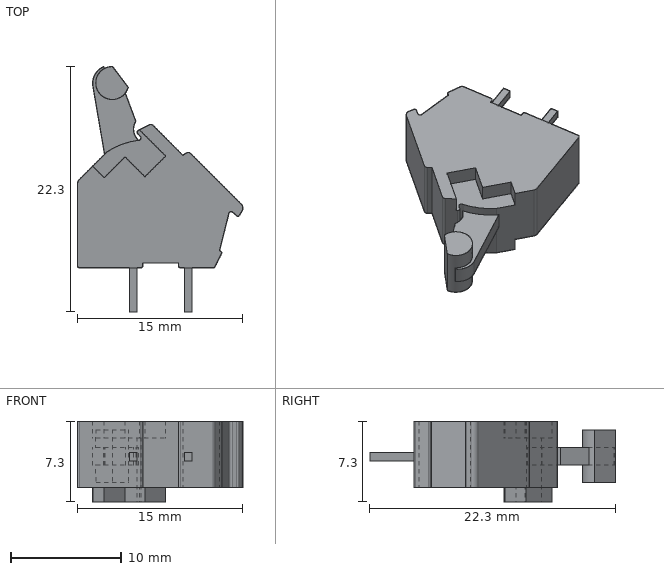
import cadquery as cq
import math


housing_height = 6.0
corner_radius = 0.2
fine_radius = 0.15
soft_radius = 0.3
nose_radius = 0.5
wall_radius = 0.5
foot_radius = 0.25
slope_angle = 45.0
left_wall_top = 7.85
apex = (6.71, 13.08)
shoulder_root = (9.55, 10.22)
shoulder = (10.08, 10.56)
nose = (15.14, 5.50)
hook_tip = (14.57, 4.60)
hook_throat = (13.82, 5.27)
foot_recess = (12.89, 1.58)
foot_bump = (13.13, 1.42)
foot_end = (12.42, 0)

relief_left = 5.93
relief_right = 9.15
relief_depth = 0.45

crown_start_x = 2.62
crown_start = (crown_start_x, left_wall_top + crown_start_x * math.tan(math.radians(slope_angle)))
crown_middle = (3.80, 11.12)
crown_end = (5.50, 11.57)
slot_bottom = (5.74, 11.76)
slot_top = (5.64, 11.98)
lip = (5.28, 12.36)

coupling_start = 7.5
coupling_step = 10.17
coupling_end = 12.83
coupling_shallow = 4.07
coupling_deep = 1.52
coupling_outer = 7.0
pocket_depth = 1.5
tab_height = 1.3

lever_mid_z = 2.85
lever_thickness = 1.6
roller_length = 4.8
roller_radius = 1.5
roller_center = (3.16, 16.77)
flat_distance = 0.92
flat_angle = 37.0
lever_tip_left = (1.38, 16.56)
lever_tip_middle = (1.62, 17.60)
lever_tip_right = (2.36, 18.24)
lever_shoulder = (4.14, 16.40)
lever_elbow = (5.30, 13.30)
lever_waist = (5.10, 12.50)
lever_root_right = (5.52, 11.59)
lever_root_depth = 1.0
lever_root_left = (2.45, 10.30)

pin_centers_x = (5.05, 10.05)
pin_width = 0.7
pin_thickness = 0.8
pin_mid_z = 2.8
pin_length = 4.0
pin_embed = 1.0


def toward(point, target, distance):
    """Point at a given distance from one point in the direction of another."""
    span = math.dist(point, target)
    return tuple(p + (t - p) * distance / span for p, t in zip(point, target))


def trace(path, start, corners, end):
    """Continue a path from start to end through corners (point, radius), rounding each one."""
    points = [start] + [point for point, _ in corners] + [end]
    for before, (corner, radius), after in zip(points, corners, points[2:]):
        if radius == 0:
            path = path.lineTo(*corner)
            continue
        to_before = math.atan2(before[1] - corner[1], before[0] - corner[0])
        to_after = math.atan2(after[1] - corner[1], after[0] - corner[0])
        half_angle = math.acos(math.cos(to_after - to_before)) / 2
        setback = radius / math.tan(half_angle)
        arc_start = toward(corner, before, setback)
        arc_end = toward(corner, after, setback)
        chord_middle = tuple((a + b) / 2 for a, b in zip(arc_start, arc_end))
        arc_middle = toward(corner, chord_middle, radius / math.sin(half_angle) - radius)
        path = path.lineTo(*arc_start).threePointArc(arc_middle, arc_end)
    return path.lineTo(*end)


def housing_prism(bottom, top):
    """Housing profile extruded between two heights."""
    corners = [
        (lip, corner_radius),
        (apex, soft_radius),
        (shoulder_root, 0),
        (shoulder, soft_radius),
        (nose, nose_radius),
        (hook_tip, fine_radius),
        (hook_throat, corner_radius),
        (foot_recess, 0),
        (foot_bump, fine_radius),
        (foot_end, foot_radius),
        ((relief_right, 0), corner_radius),
        ((relief_right, relief_depth), 0),
        ((relief_left, relief_depth), 0),
        ((relief_left, 0), corner_radius),
        ((0, 0), corner_radius),
        ((0, left_wall_top), wall_radius),
    ]
    path = cq.Workplane("XY").workplane(offset=bottom).moveTo(*crown_start)
    path = path.threePointArc(crown_middle, crown_end)
    path = path.threePointArc(slot_bottom, slot_top)
    return trace(path, slot_top, corners, crown_start).close().extrude(top - bottom)


def coupling_prism(bottom, top):
    """Two-step coupling area extruded between two heights, open on its outer side."""
    return (
        cq.Workplane("XY")
        .workplane(offset=bottom)
        .polyline([
            (coupling_start, coupling_outer),
            (coupling_start, coupling_shallow),
            (coupling_step, coupling_shallow),
            (coupling_step, coupling_deep),
            (coupling_end, coupling_deep),
            (coupling_end, coupling_outer),
        ])
        .close()
        .extrude(top - bottom)
        .rotate((0, 0, 0), (0, 0, 1), slope_angle)
    )


def lever():
    """Lever arm with a rounded tip, a waist beside the lip and a root inside the housing."""
    root_corner = (lever_root_right[0], lever_root_right[1] - lever_root_depth)
    return (
        cq.Workplane("XY")
        .workplane(offset=lever_mid_z - lever_thickness / 2)
        .moveTo(*lever_root_left)
        .lineTo(*lever_tip_left)
        .threePointArc(lever_tip_middle, lever_tip_right)
        .lineTo(*lever_shoulder)
        .lineTo(*lever_elbow)
        .threePointArc(lever_waist, lever_root_right)
        .lineTo(*root_corner)
        .close()
        .extrude(lever_thickness)
    )


def roller():
    """Round cross bar at the lever tip with a flat along one side."""
    bar = cq.Workplane("XY").circle(roller_radius).extrude(roller_length / 2, both=True)
    keep_size = 2 * roller_radius
    keep = cq.Workplane("XY").box(keep_size, keep_size, roller_length)
    keep = keep.translate((flat_distance - keep_size / 2, 0, 0))
    keep = keep.rotate((0, 0, 0), (0, 0, 1), flat_angle)
    return bar.intersect(keep).translate((*roller_center, lever_mid_z))


def pin(center_x):
    """Rectangular pin leaving the underside of the housing, partly embedded."""
    length = pin_length + pin_embed
    center_y = pin_embed - length / 2
    bar = cq.Workplane("XY").box(pin_width, length, pin_thickness)
    return bar.translate((center_x, center_y, pin_mid_z))


pocket = coupling_prism(housing_height - pocket_depth, housing_height)
tab = housing_prism(-tab_height, 0).intersect(coupling_prism(-tab_height, 0))

result = housing_prism(0, housing_height).cut(pocket).union(tab)
result = result.union(lever()).union(roller())
for pin_x in pin_centers_x:
    result = result.union(pin(pin_x))